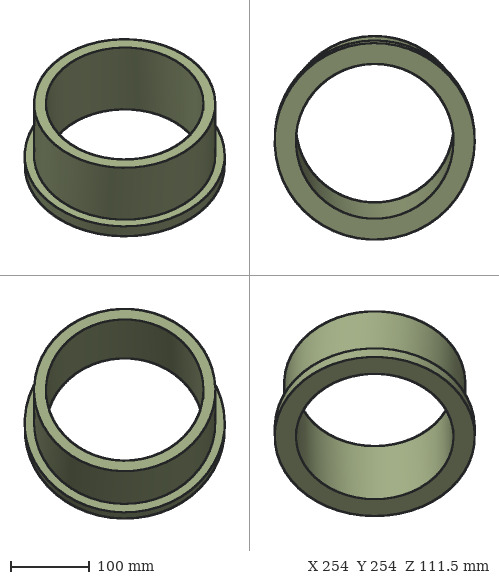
import cadquery as cq

flange_diameter = 254.0
sleeve_diameter = 230.0
bore_diameter = 200.0
total_height = 111.5
flange_thickness = 18.0

flange = cq.Workplane("XY").circle(flange_diameter / 2).extrude(flange_thickness)
sleeve = cq.Workplane("XY").circle(sleeve_diameter / 2).extrude(total_height)

bore = cq.Workplane("XY").circle(bore_diameter / 2).extrude(total_height)

result = flange.union(sleeve).cut(bore)